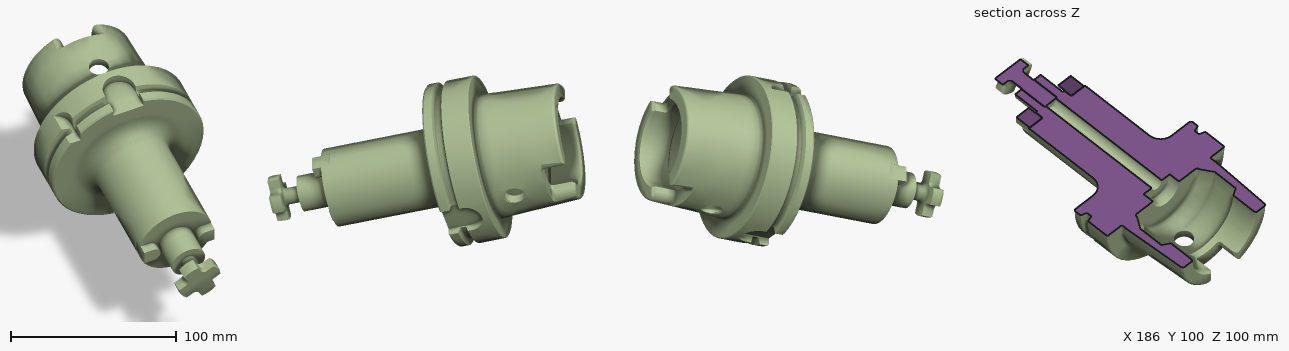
import cadquery as cq
import math


cutter_clearance = 1.9

nose_radius = 35.5
taper_end = 47.6
taper_ratio = 0.05
taper_end_radius = nose_radius + taper_ratio * taper_end
nose_round = 1.7
neck_radius = taper_end_radius - 0.2
neck_fillet = 1.1

bore_radius = 53.0 / 2
bore_length = 19.3
mouth_chamfer_length = 1.5
mouth_chamfer_height = 0.7
clamp_groove_radius = 63.0 / 2
clamp_cone_length = 3.0
clamp_groove_end = 40.2
pocket_cone_end = 48.2
pocket_floor = 50.0
pocket_floor_fillet = 1.7
tube_seat_radius = 22.0 / 2
tube_seat_depth = 8.0

cross_hole_radius = 12.0 / 2
cross_hole_x = 34.8
cross_hole_chamfer = 0.46

slot_width = 19.7
slot_flat_height = 32.2
slot_flare_radius = 5.0
slot_floor_round = 1.7
slot_mouth_length = 1.7
slot_mouth_flare = 1.7
top_slot_depth = 9.5
bottom_slot_depth = 14.7

flange_radius = 100.0 / 2
flange_start = 50.0
flange_end = 79.0
flange_start_chamfer = 0.5
flange_end_chamfer = 1.0
groove_center = 70.0
groove_mouth_width = 6.1
groove_floor_width = 3.5
groove_floor_radius = 46.0
groove_floor_round = 0.5

keyway_width = 19.9
keyway_center_x = 65.1
keyway_floor_height = 44.0
notch_offset = 31.6

arbor_radius = 48.0 / 2
arbor_fillet = 9.7
arbor_end = 149.7
spigot_radius = 22.0 / 2
spigot_end = 168.7

key_width = 9.7
key_start = 144.0
key_end = 155.3
key_outer_y = 23.2
key_round_center_y = 17.3

screw_radius = 10.0 / 2
screw_tip = 148.8
screw_end = 186.0
screw_hole_radius = 8.4 / 2
screw_fillet = 2.2
head_start = 179.0
head_radius = 27.9 / 2
head_bevel_length = 1.5
head_bevel_drop = 0.4
notch_count = 4
head_notch_angle = 17.2
head_notch_apex = 7.3
head_notch_round = 3.0


def revolve_about_x(profile):
    return profile.close().revolve(360, (0, 0, 0), (1, 0, 0))


def make_turned_blank():
    fillet_45 = arbor_fillet * (1 - math.sqrt(0.5))
    nose_tangent_radius = nose_radius + taper_ratio * nose_round
    nose_45 = nose_round * (1 - math.sqrt(0.5))
    profile = (
        cq.Workplane("XY")
        .lineTo(0, nose_tangent_radius - nose_round)
        .threePointArc((nose_45, nose_tangent_radius - nose_45), (nose_round, nose_tangent_radius))
        .lineTo(taper_end, taper_end_radius)
        .lineTo(taper_end, neck_radius)
        .lineTo(flange_start - neck_fillet, neck_radius)
        .radiusArc((flange_start, neck_radius + neck_fillet), -neck_fillet)
        .lineTo(flange_start, flange_radius - flange_start_chamfer)
        .lineTo(flange_start + flange_start_chamfer, flange_radius)
        .lineTo(flange_end - flange_end_chamfer, flange_radius)
        .lineTo(flange_end, flange_radius - flange_end_chamfer)
        .lineTo(flange_end, arbor_radius + arbor_fillet)
        .threePointArc(
            (flange_end + fillet_45, arbor_radius + fillet_45),
            (flange_end + arbor_fillet, arbor_radius),
        )
        .lineTo(arbor_end, arbor_radius)
        .lineTo(arbor_end, spigot_radius)
        .lineTo(spigot_end, spigot_radius)
        .lineTo(spigot_end, 0)
    )
    return revolve_about_x(profile)


def make_gripper_groove():
    half_mouth = groove_mouth_width / 2
    half_floor = groove_floor_width / 2
    profile = (
        cq.Workplane("XY")
        .moveTo(groove_center - half_mouth, flange_radius + cutter_clearance)
        .lineTo(groove_center - half_mouth, flange_radius)
        .lineTo(groove_center - half_floor, groove_floor_radius)
        .lineTo(groove_center + half_floor, groove_floor_radius)
        .lineTo(groove_center + half_mouth, flange_radius)
        .lineTo(groove_center + half_mouth, flange_radius + cutter_clearance)
    )
    floor_edges = cq.selectors.RadiusNthSelector(0)
    return revolve_about_x(profile).edges(floor_edges).fillet(groove_floor_round)


def make_shank_pocket():
    seat_end = pocket_floor + tube_seat_depth
    profile = (
        cq.Workplane("XY")
        .lineTo(0, bore_radius + mouth_chamfer_height)
        .lineTo(mouth_chamfer_length, bore_radius)
        .lineTo(bore_length, bore_radius)
        .lineTo(bore_length + clamp_cone_length, clamp_groove_radius)
        .lineTo(clamp_groove_end, clamp_groove_radius)
        .lineTo(pocket_cone_end, bore_radius)
        .lineTo(pocket_floor - pocket_floor_fillet, bore_radius)
        .radiusArc((pocket_floor, bore_radius - pocket_floor_fillet), pocket_floor_fillet)
        .lineTo(pocket_floor, tube_seat_radius)
        .lineTo(seat_end, tube_seat_radius)
        .lineTo(seat_end, screw_hole_radius)
        .lineTo(screw_tip, screw_hole_radius)
        .lineTo(screw_tip, screw_radius)
        .lineTo(spigot_end, screw_radius)
        .lineTo(spigot_end, 0)
    )
    return revolve_about_x(profile)


def make_drive_slot(depth):
    """Slot on the +Z side: straight walls that flare out to a flat on each prong."""
    half = slot_width / 2
    flare_start = slot_flat_height - slot_flare_radius
    outside = flange_radius
    slot = (
        cq.Workplane("YZ")
        .moveTo(-half, 0)
        .lineTo(-half, flare_start)
        .radiusArc((-half - slot_flare_radius, slot_flat_height), -slot_flare_radius)
        .lineTo(-outside, slot_flat_height)
        .lineTo(-outside, outside)
        .lineTo(outside, outside)
        .lineTo(outside, slot_flat_height)
        .lineTo(half + slot_flare_radius, slot_flat_height)
        .radiusArc((half, flare_start), -slot_flare_radius)
        .lineTo(half, 0)
        .close()
        .extrude(depth)
    )
    margin = 0.2
    floor_wall_edges = cq.selectors.BoxSelector(
        (depth - margin, margin - outside, margin), (depth + margin, outside - margin, outside - margin)
    )
    slot = slot.edges(floor_wall_edges).fillet(slot_floor_round)
    mouth = (
        cq.Workplane("XY")
        .moveTo(0, -half - slot_mouth_flare)
        .lineTo(slot_mouth_length, -half)
        .lineTo(slot_mouth_length, half)
        .lineTo(0, half + slot_mouth_flare)
        .close()
        .extrude(outside)
    )
    return slot.union(mouth)


def make_cross_hole(direction):
    """Radial hole along +Z (direction 1) or -Z (direction -1), chamfered at the taper surface."""
    surface_radius = nose_radius + taper_ratio * cross_hole_x
    hole = cq.Workplane("XY").circle(cross_hole_radius).extrude(surface_radius + cutter_clearance)
    chamfer = (
        cq.Workplane("XY", origin=(0, 0, surface_radius - cross_hole_chamfer))
        .circle(cross_hole_radius + cross_hole_chamfer)
        .extrude(cutter_clearance)
    )
    cutter = hole.union(chamfer)
    if direction < 0:
        cutter = cutter.mirror("XY")
    return cutter.translate((cross_hole_x, 0, 0))


def make_keyway(center_y, floor_height):
    """Round-ended end-mill slot, open towards +X and cut down to floor_height."""
    length = flange_end - keyway_center_x
    height = flange_radius - floor_height
    straight = (
        cq.Workplane("XY", origin=(keyway_center_x + length / 2, center_y, floor_height))
        .rect(length, keyway_width)
        .extrude(height)
    )
    rounded = (
        cq.Workplane("XY", origin=(keyway_center_x, center_y, floor_height))
        .circle(keyway_width / 2)
        .extrude(height)
    )
    return straight.union(rounded)


def make_key(side):
    """Drive key with a flat outer end and a half-round inner end; side is +1 or -1 along Y."""
    half = key_width / 2
    return (
        cq.Workplane("YZ", origin=(key_start, 0, 0))
        .moveTo(side * key_outer_y, half)
        .lineTo(side * key_round_center_y, half)
        .threePointArc((side * (key_round_center_y - half), 0), (side * key_round_center_y, -half))
        .lineTo(side * key_outer_y, -half)
        .close()
        .extrude(key_end - key_start)
    )


def make_key_seat(side):
    """Cutter for the seat of one key, open to the arbor surface and end face."""
    outer_y = arbor_radius + cutter_clearance
    opening = (
        cq.Workplane("YZ", origin=(key_start, side * (key_outer_y + outer_y) / 2, 0))
        .rect(outer_y - key_outer_y, key_width)
        .extrude(arbor_end - key_start)
    )
    return make_key(side).union(opening)


def make_holder():
    holder = make_turned_blank().cut(make_gripper_groove()).cut(make_shank_pocket())
    holder = holder.cut(make_drive_slot(top_slot_depth))
    holder = holder.cut(make_drive_slot(bottom_slot_depth).mirror("XY"))
    for direction in (1, -1):
        holder = holder.cut(make_cross_hole(direction))
    keyway = make_keyway(0, keyway_floor_height)
    orientation_notch = make_keyway(-notch_offset - keyway_width / 2, notch_offset)
    holder = holder.cut(keyway).cut(keyway.mirror("XY")).cut(orientation_notch)
    for side in (1, -1):
        holder = holder.cut(make_key_seat(side))
    return holder


def make_head_notch():
    """Right-angled V notch along X with a rounded root, opening towards -Y."""
    reach = head_radius
    wedge = (
        cq.Workplane("YZ", origin=(head_start, 0, 0))
        .moveTo(-head_notch_apex, 0)
        .lineTo(-head_notch_apex - reach, reach)
        .lineTo(-head_notch_apex - reach, -reach)
        .close()
        .extrude(screw_end - head_start)
    )
    root = cq.selectors.NearestToPointSelector(((head_start + screw_end) / 2, -head_notch_apex, 0))
    return wedge.edges("|X").edges(root).fillet(head_notch_round)


def make_screw():
    fillet_45 = screw_fillet * (1 - math.sqrt(0.5))
    profile = (
        cq.Workplane("XY")
        .moveTo(screw_tip, 0)
        .lineTo(screw_tip, screw_radius)
        .lineTo(head_start - screw_fillet, screw_radius)
        .threePointArc(
            (head_start - fillet_45, screw_radius + fillet_45),
            (head_start, screw_radius + screw_fillet),
        )
        .lineTo(head_start, head_radius)
        .lineTo(screw_end - head_bevel_length, head_radius)
        .lineTo(screw_end, head_radius - head_bevel_drop)
        .lineTo(screw_end, 0)
    )
    screw = revolve_about_x(profile)
    notch = make_head_notch()
    for i in range(notch_count):
        angle = i * 360 / notch_count - head_notch_angle
        screw = screw.cut(notch.rotate((0, 0, 0), (1, 0, 0), angle))
    return screw


holder = make_holder()
keys = [make_key(side) for side in (1, -1)]
screw = make_screw()
result = cq.Compound.makeCompound([holder.val(), *[key.val() for key in keys], screw.val()])